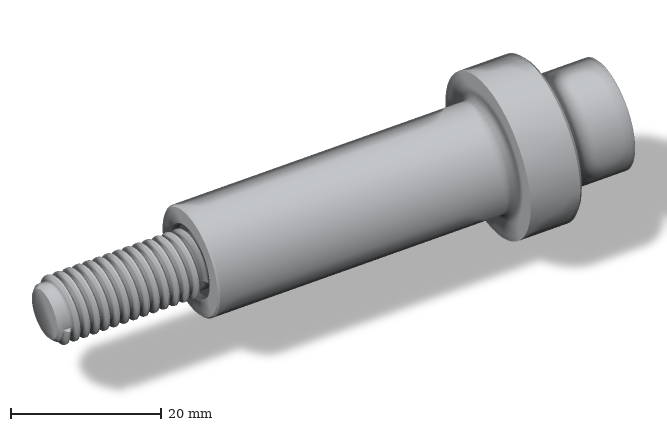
import cadquery as cq
import math


collar_diameter = 24.0
collar_length = 8.0
collar_chamfer = 0.5
shoulder_diameter = 16.0
shoulder_length = 45.0
shoulder_fillet = 1.0
shoulder_chamfer = 0.25
bore_diameter = 10.5
bore_chamfer = 0.25
sleeve_length = collar_length + shoulder_length

head_diameter = 16.0
head_length = 10.0
head_edge_break = 0.1
shank_diameter = bore_diameter
shank_recess = 1.0
core_diameter = 8.16
thread_reach = 22.0
tip_chamfer = 0.5
screw_tip = sleeve_length + thread_reach
shank_end = sleeve_length - shank_recess

thread_diameter = 9.6
thread_pitch = 1.5
thread_turns = 14
flank_half_angle = math.radians(30)
crest_width = 0.25
root_overlap = 0.1
thread_inset = 0.2
thread_start = sleeve_length - thread_inset


def place(body):
    """Turn local +Z to -Y, which also turns local Y to Z."""
    return body.rotate((0, 0, 0), (1, 0, 0), 90)


def make_sleeve():
    collar = (
        cq.Workplane("XY")
        .circle(collar_diameter / 2)
        .extrude(collar_length)
        .faces("<Z")
        .edges()
        .chamfer(collar_chamfer)
    )
    shoulder = (
        cq.Workplane("XY")
        .circle(shoulder_diameter / 2)
        .extrude(sleeve_length)
        .faces(">Z")
        .edges()
        .chamfer(shoulder_chamfer)
    )
    smallest_circle = cq.selectors.RadiusNthSelector(0)
    step_point = ((collar_diameter + shoulder_diameter) / 4, 0, collar_length)
    collar_step = cq.selectors.NearestToPointSelector(step_point)
    body = collar.union(shoulder)
    body = body.faces(collar_step).edges(smallest_circle).fillet(shoulder_fillet)
    bore = cq.Workplane("XY").circle(bore_diameter / 2).extrude(sleeve_length)
    return body.cut(bore).faces(">Z").edges(smallest_circle).chamfer(bore_chamfer)


def make_thread():
    root_radius = core_diameter / 2 - root_overlap
    crest_radius = thread_diameter / 2
    crest_half = crest_width / 2
    root_half = crest_half + (crest_radius - root_radius) * math.tan(flank_half_angle)
    path = cq.Wire.makeHelix(
        thread_pitch, thread_pitch * thread_turns, root_radius, cq.Vector(0, 0, thread_start)
    )
    profile = (
        cq.Workplane("XZ")
        .moveTo(root_radius, thread_start - root_half)
        .lineTo(crest_radius, thread_start - crest_half)
        .lineTo(crest_radius, thread_start + crest_half)
        .lineTo(root_radius, thread_start + root_half)
        .close()
    )
    return profile.sweep(cq.Workplane(path), isFrenet=True)


def make_screw():
    head = (
        cq.Workplane("XY")
        .circle(head_diameter / 2)
        .extrude(-head_length)
        .faces("<Z or >Z")
        .edges()
        .chamfer(head_edge_break)
    )
    shank = cq.Workplane("XY").circle(shank_diameter / 2).extrude(shank_end)
    core = (
        cq.Workplane("XY")
        .circle(core_diameter / 2)
        .extrude(screw_tip)
        .faces(">Z")
        .edges()
        .chamfer(tip_chamfer)
    )
    return head.union(shank).union(core).union(make_thread())


sleeve = place(make_sleeve())
screw = place(make_screw())
result = cq.Compound.makeCompound([sleeve.val(), screw.val()])